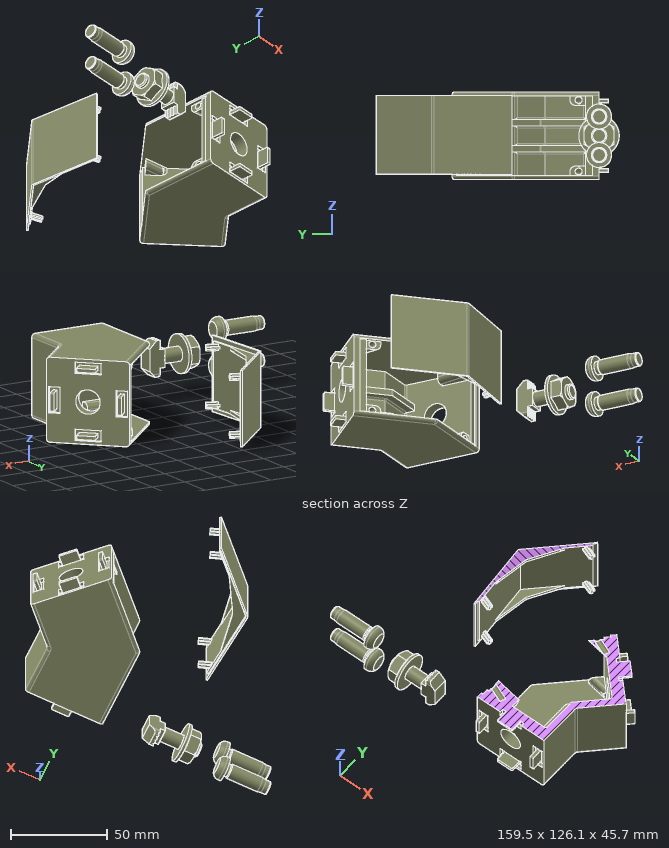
import cadquery as cq
import math

housing_bend = 45.0
housing_leg = 44.75
housing_width = 44.5
housing_height = 45.65
edge_radius = 2.0
cavity_height = 41.0
end_wall = 7.0
back_wall = 4.4
rib_reach = 10.0
rib_inner_z = 5.0
rib_outer_z = 8.4
pocket_radius = 1.0
inner_bend_radius = 1.0
rebate_depth = 1.0
rebate_end = 3.4

port_diameter = 13.0
tab_width = 10.0
tab_thickness = 2.0
tab_length = 5.0
tab_tip_radius = 0.6
tab_pitch = 36.0
tab_recess_width = 14.0
tab_recess_height = 6.0
tab_recess_depth = 2.0

boss_front = 2.2
boss_far_edge = 15.1
boss_reach = 4.8
boss_depth = 16.0
boss_radius = 3.0
boss_tilt = 10.0
boss_hole_diameter = 3.4
boss_hole_depth = 10.0
boss_hole_from_end = 10.6
boss_hole_z = 18.5

cover_bend = 50.0
cover_leg = 41.4
cover_height = 41.0
cover_rim = 1.0
cover_pad = 1.0
cover_pad_inset = 2.5
cover_bend_radius = 1.6
cover_tilt = 5.0
cover_apex = (-42.2, 86.33, 0.45)
web_thickness = 2.0
web_leg = 24.0
web_peak = 8.0
cross_pin_size = 3.4
cross_pin_arm = 1.2
cross_pin_lateral = 31.0
cross_pin_tip = 22.9
cross_pin_z = 15.5

screw_x = -95.19
screw_pitch = 20.0
screw_end_diameter = 6.65
screw_pilot_diameter = 7.26
screw_diameter = 8.0
screw_neck_diameter = 7.0
screw_head_diameter = 13.0
screw_dome_diameter = 8.6
screw_end_chamfer = 0.5
screw_pilot_end = 3.0
screw_shank_start = 5.0
screw_shank_end = 22.3
screw_neck_start = 22.9
screw_head_start = 24.9
screw_dome_start = 26.5
screw_length = 29.6
screw_dome_bulge = 0.5

bolt_x = -55.5
bolt_diameter = 8.0
bolt_end_diameter = 6.65
bolt_shank = 21.5
bolt_neck_length = 2.9
bolt_neck_height = 10.0
bolt_head_length = 6.4
bolt_head_height = 20.0
bolt_width = 8.6
bolt_head_chamfer = 4.0
bolt_head_radius = 2.0
groove_count = 4
groove_depth = 0.6

nut_x = -53.2
nut_hex_length = 6.0
nut_across_flats = 15.5
nut_flange_diameter = 21.0
nut_flange_thickness = 1.7
nut_flange_cone = 0.7
nut_chamfer = 0.8


def elbow_line(depth, inset, leg, bend):
    """Start, bend and end points of a line held `depth` inside the outer side of an elbow."""
    turn = math.radians(bend)
    bend_y = leg - depth * math.tan(turn / 2)
    run = bend_y - inset
    return [
        (depth, inset),
        (depth, bend_y),
        (depth + run * math.sin(turn), bend_y + run * math.cos(turn)),
    ]


def elbow_slab(depth_1, depth_2, inset, leg, bend, z_low, z_high):
    """Prism between two such lines, from z_low to z_high."""
    outline = elbow_line(depth_1, inset, leg, bend) + elbow_line(depth_2, inset, leg, bend)[::-1]
    return cq.Workplane("XY").workplane(offset=z_low).polyline(outline).close().extrude(z_high - z_low)


def housing_slab(depth_1, depth_2, inset, z_low, z_high):
    return elbow_slab(depth_1, depth_2, inset, housing_leg, housing_bend, z_low, z_high)


def cover_slab(depth_1, depth_2, inset, height):
    return elbow_slab(depth_1, depth_2, inset, cover_leg, cover_bend, -height / 2, height / 2)


def on_both_ends(shape):
    """The shape at the Y = 0 end of the housing and its mirror image at the other end."""
    half_turn = math.radians(housing_bend / 2)
    normal = cq.Vector(math.sin(half_turn), math.cos(half_turn), 0)
    return [shape, shape.mirror(normal, (0, housing_leg, 0))]


def housing_shell():
    """Elbow with all long edges rounded; it is built too long and trimmed to leave sharp end faces."""
    half = housing_height / 2
    overlong = housing_slab(0, housing_width, -2 * edge_radius, -half, half)
    rounded = overlong.edges("|Z").fillet(edge_radius).faces("<Z or >Z").edges().fillet(edge_radius)
    margin = 1.0
    return rounded.intersect(housing_slab(-margin, housing_width + margin, 0, -half, half))


def depth_below_open_side(x, y):
    turn = math.radians(housing_bend)
    return min(x, x * math.cos(turn) + (housing_leg - y) * math.sin(turn))


def round_inner_bend(body, depth):
    """Round the upright bend edge of a slab's deeper side."""
    _, bend, _ = elbow_line(depth, 0, housing_leg, housing_bend)
    upright = body.edges("|Z").edges(cq.selectors.NearestToPointSelector((*bend, 0)))
    return upright.fillet(inner_bend_radius)


def pocket(z_low, z_high):
    """Pocket beside a rib, rounded where its floor meets the ribs and the end walls."""
    floor_depth = housing_width - back_wall
    mouth_depth = housing_width - rib_reach - 2 * inner_bend_radius
    body = housing_slab(mouth_depth, floor_depth, end_wall, z_low, z_high)
    body = round_inner_bend(body, floor_depth)
    near, _, far = elbow_line(floor_depth, end_wall, housing_leg, housing_bend)
    tolerance = 0.01

    def bounds_floor(edge):
        centre = edge.Center()
        if edge.BoundingBox().zlen > tolerance:
            return min(math.dist(end, (centre.x, centre.y)) for end in (near, far)) < tolerance
        gap = abs(depth_below_open_side(centre.x, centre.y) - floor_depth)
        return gap < inner_bend_radius and abs(centre.z) < cavity_height / 2 - tolerance

    return body.edges().filter(bounds_floor).fillet(pocket_radius)


def boss_set():
    """Four bosses in the cavity corners beside the end walls, all pulled in one slanting direction."""
    top = cavity_height / 2
    low = top - boss_reach
    slant = boss_radius * (1 - math.sqrt(0.5))
    section = (
        cq.Workplane("YZ", origin=(boss_front, 0, 0))
        .moveTo(end_wall, top).lineTo(boss_far_edge, top).lineTo(boss_far_edge, low + boss_radius)
        .threePointArc((boss_far_edge - slant, low + slant), (boss_far_edge - boss_radius, low))
        .lineTo(end_wall, low).close()
    )
    face = cq.Face.makeFromWires(section.wire().val())
    tilt = math.radians(boss_tilt)
    pull = cq.Vector(math.cos(tilt), -math.sin(tilt), 0) * boss_depth
    inside = housing_slab(0, housing_width, end_wall / 2, -top, top)
    bosses = []
    for end_face in on_both_ends(face):
        boss = cq.Workplane(cq.Solid.extrudeLinear(end_face, pull)).intersect(inside)
        bosses += [boss, boss.mirror("XY")]
    return bosses


def boss_hole(z):
    tilt = math.radians(housing_bend / 2)
    axis = cq.Vector(math.cos(tilt), -math.sin(tilt), 0)
    overrun = 2.0
    mouth = cq.Vector(boss_front, boss_hole_from_end, z)
    return cq.Workplane(cq.Solid.makeCylinder(
        boss_hole_diameter / 2, boss_hole_depth + overrun, mouth - axis * overrun, axis))


def end_tab(x, z, angle):
    tab = (
        cq.Workplane("XZ").rect(tab_width, tab_thickness)
        .extrude(tab_length + tab_recess_depth).edges("<Y and |Z").fillet(tab_tip_radius)
    )
    return tab.rotate((0, 0, 0), (0, 1, 0), angle).translate((x, tab_recess_depth, z))


def end_recess(x, z, angle):
    recess = cq.Workplane("XZ").rect(tab_recess_width, tab_recess_height).extrude(-tab_recess_depth)
    return recess.rotate((0, 0, 0), (0, 1, 0), angle).translate((x, 0, z))


def make_housing():
    top = cavity_height / 2
    body = housing_shell()
    overshoot = 1.0
    body = body.cut(housing_slab(-overshoot, rebate_depth, rebate_end, -top, top))
    rib_depth = housing_width - rib_reach
    body = body.cut(round_inner_bend(housing_slab(0, rib_depth, end_wall, -top, top), rib_depth))
    for z_low, z_high in [(-top, -rib_outer_z), (-rib_inner_z, rib_inner_z), (rib_outer_z, top)]:
        body = body.cut(pocket(z_low, z_high))
    for boss in boss_set():
        body = body.union(boss)
    centre_x = housing_width / 2
    half_pitch = tab_pitch / 2
    port = cq.Workplane("XZ").center(centre_x, 0).circle(port_diameter / 2).extrude(-end_wall)
    places = [
        (centre_x - half_pitch, 0, 90),
        (centre_x + half_pitch, 0, 90),
        (centre_x, -half_pitch, 0),
        (centre_x, half_pitch, 0),
    ]
    cuts = [port]
    cuts += [end_recess(*place) for place in places]
    cuts += [boss_hole(z) for z in (-boss_hole_z, boss_hole_z)]
    for cut in cuts:
        for tool in on_both_ends(cut):
            body = body.cut(tool)
    for place in places:
        for tab in on_both_ends(end_tab(*place)):
            body = body.union(tab)
    return body


def cover_point(forward, lateral):
    """Point given along the bisector and across it, measured from the bend."""
    half_turn = math.radians(cover_bend / 2)
    return (
        forward * math.cos(half_turn) + lateral * math.sin(half_turn),
        cover_leg - forward * math.sin(half_turn) + lateral * math.cos(half_turn),
    )


def cover_web(z_low):
    inset = cover_leg - web_leg
    near, _, far = elbow_line(cover_rim + cover_pad, inset, cover_leg, cover_bend)
    root = elbow_line(cover_rim, inset, cover_leg, cover_bend)
    outline = root + [far, cover_point(web_peak, 0), near]
    return cq.Workplane("XY").workplane(offset=z_low).polyline(outline).close().extrude(web_thickness)


def cover_pin(lateral, z):
    half_turn = cover_bend / 2
    surface = cover_rim / math.cos(math.radians(half_turn))
    root = abs(lateral) * math.tan(math.radians(half_turn)) + surface
    length = cross_pin_tip - root
    arms = cq.Workplane("YZ").rect(cross_pin_size, cross_pin_arm).extrude(length)
    arms = arms.union(cq.Workplane("YZ").rect(cross_pin_arm, cross_pin_size).extrude(length))
    x, y = cover_point(root, lateral)
    return arms.rotate((0, 0, 0), (0, 0, 1), -half_turn).translate((x, y, z))


def make_cover():
    body = cover_slab(0, cover_rim, 0, cover_height)
    body = body.edges(cq.selectors.NearestToPointSelector((0, cover_leg, 0))).fillet(cover_bend_radius)
    pad_height = cover_height - 2 * cover_pad_inset
    body = body.union(cover_slab(cover_rim, cover_rim + cover_pad, cover_pad_inset, pad_height))
    for z_low in (-pad_height / 2, pad_height / 2 - web_thickness):
        body = body.union(cover_web(z_low))
    for lateral in (-cross_pin_lateral, cross_pin_lateral):
        for z in (-cross_pin_z, cross_pin_z):
            body = body.union(cover_pin(lateral, z))
    body = body.translate((0, -cover_leg, 0)).rotate((0, 0, 0), (0, 0, 1), cover_tilt)
    return body.translate(cover_apex)


def make_screw(z):
    """Turned screw with a domed head at its +X end."""
    outline = [
        (0, screw_end_diameter),
        (screw_end_chamfer, screw_pilot_diameter),
        (screw_pilot_end, screw_pilot_diameter),
        (screw_shank_start, screw_diameter),
        (screw_shank_end, screw_diameter),
        (screw_neck_start, screw_neck_diameter),
        (screw_head_start, screw_neck_diameter),
        (screw_head_start, screw_head_diameter),
        (screw_dome_start, screw_head_diameter),
    ]
    profile = cq.Workplane("XY").moveTo(0, 0)
    for x, diameter in outline:
        profile = profile.lineTo(x, diameter / 2)
    profile = profile.sagittaArc((screw_length, screw_dome_diameter / 2), screw_dome_bulge)
    profile = profile.lineTo(screw_length, 0).close()
    return profile.revolve(360, (0, 0, 0), (1, 0, 0)).translate((screw_x, 0, z))


def make_bolt():
    end_chamfer = (bolt_diameter - bolt_end_diameter) / 2
    shank = cq.Workplane("YZ").circle(bolt_diameter / 2).extrude(bolt_shank)
    shank = shank.faces("<X").chamfer(end_chamfer)
    neck = cq.Workplane("YZ", origin=(bolt_shank, 0, 0)).rect(bolt_width, bolt_neck_height)
    neck = neck.extrude(bolt_neck_length)
    head_x = bolt_shank + bolt_neck_length
    head = cq.Workplane("YZ", origin=(head_x, 0, 0)).rect(bolt_width, bolt_head_height)
    head = head.extrude(bolt_head_length)
    head = head.edges("|X and >Z and <Y").fillet(bolt_head_radius)
    head = head.edges("|X and <Z and >Y").fillet(bolt_head_radius)
    for side in (-1, 1):
        z_crest = side * bolt_head_height / 2
        wedge = cq.Workplane("XZ").polyline([
            (head_x + bolt_head_length, z_crest),
            (head_x + bolt_head_length, z_crest - side * bolt_head_chamfer),
            (head_x + bolt_head_length - bolt_head_chamfer, z_crest),
        ]).close().extrude(bolt_width, both=True)
        head = head.cut(wedge)
    pitch = bolt_width / groove_count
    for side in (-1, 1):
        start = side * bolt_neck_height / 2
        for index in range(groove_count):
            y = (index + 0.5) * pitch - bolt_width / 2
            groove = cq.Workplane("XY", origin=(0, 0, start)).polyline([
                (head_x, y - groove_depth),
                (head_x + groove_depth, y),
                (head_x, y + groove_depth),
            ]).close().extrude(side * bolt_head_height)
            head = head.cut(groove)
    return shank.union(neck).union(head).translate((bolt_x, 0, 0))


def make_nut():
    across_corners = nut_across_flats / math.cos(math.radians(30))
    length = nut_hex_length + nut_flange_cone + nut_flange_thickness
    hexagon = cq.Workplane("YZ").polygon(6, across_corners).extrude(length)
    hexagon = hexagon.rotate((0, 0, 0), (1, 0, 0), 90)
    turned_bar = cq.Workplane("YZ").circle(across_corners / 2).extrude(length)
    hexagon = hexagon.intersect(turned_bar.faces("<X").chamfer(nut_chamfer))
    rim_radius = nut_flange_diameter / 2
    flange = (
        cq.Workplane("XY").moveTo(nut_hex_length, 0).lineTo(nut_hex_length, nut_across_flats / 2)
        .lineTo(nut_hex_length + nut_flange_cone, rim_radius).lineTo(length, rim_radius)
        .lineTo(length, 0).close().revolve(360, (0, 0, 0), (1, 0, 0))
    )
    bore = cq.Workplane("YZ").circle(bolt_diameter / 2).extrude(length)
    return hexagon.union(flange).cut(bore).translate((nut_x, 0, 0))


housing = make_housing()
cover = make_cover()
screws = [make_screw(side * screw_pitch / 2) for side in (-1, 1)]
bolt = make_bolt()
nut = make_nut()

result = cq.Compound.makeCompound([
    housing.solids().val(),
    cover.solids().val(),
    *[screw.solids().val() for screw in screws],
    bolt.solids().val(),
    nut.solids().val(),
])